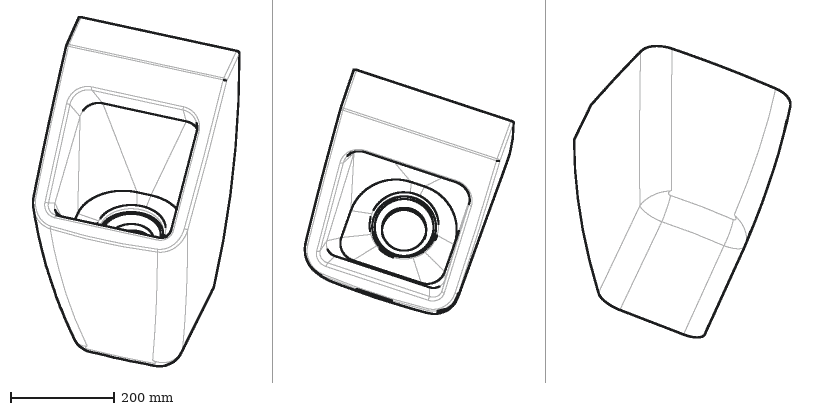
import math

import cadquery as cq

WIDTH = 328.13
DEPTH = 359.5
HEIGHT = 680.7

BASE_HALF_WIDTH = 106.0
SIDE_BULGE = 15.0
BASE_CORNER_RADIUS = 46.0
SIDE_DRAFT = 3.0
BASE_RISE = 17.5

FRONT_TOP_DEPTH = 388.1
FRONT_BASE_DEPTH = 232.5
FRONT_BULGE = 27.0
FRONT_BOW_RADIUS = 1450.0
FRONT_SECTOR = 40.0
FRONT_CORNER_RADIUS = 50.0

LEDGE_DEPTH = 83.0
SLOPE_ANGLE = 39.7
RIM_RADIUS = 6.0

MOUTH_START = 75.0
MOUTH_END = 329.0
MOUTH_TOP_HALF_WIDTH = 130.0
MOUTH_BOTTOM_HALF_WIDTH = 125.0
MOUTH_TOP_RADIUS = 36.0
MOUTH_BOTTOM_RADIUS = 20.0

THROAT_BACK = (-93.0, 555.0)
THROAT_FRONT = (-309.0, 443.0)
THROAT_HALF_WIDTH = 121.0
THROAT_BACK_RADIUS = 36.0
THROAT_FRONT_RADIUS = 24.0

WAIST_HEIGHT = 340.0
WAIST_BACK = -96.0
WAIST_FRONT = -281.0
WAIST_HALF_WIDTH = 106.0
WAIST_BACK_RADIUS = 92.0
WAIST_FRONT_RADIUS = 36.0

DRAIN_Y = -178.5
DRAIN_TOP = 321.0
DRAIN_MOUTH_RADIUS = 67.0
DRAIN_LIP_RADIUS = 5.0
DRAIN_SEAT_RADIUS = 57.0
DRAIN_SEAT_DEPTH = 14.0
DRAIN_HOLE_RADIUS = 43.0
DRAIN_CONE_DEPTH = 14.0
DRAIN_HOLE_DEPTH = 45.0
DRAIN_CORNER_ARCS = ((2, 82), (98, 178), (214, 236), (304, 326))

MARGIN = 10.0
SLOPE_PLANE = cq.Plane(
    origin=(0, -LEDGE_DEPTH, HEIGHT),
    xDir=(1, 0, 0),
    normal=(0, -math.sin(math.radians(SLOPE_ANGLE)), math.cos(math.radians(SLOPE_ANGLE))),
)


def bulged_middle(start, end, bulge):
    """Middle point of an arc that rises to the right of the chord by the bulge."""
    dx, dy = end[0] - start[0], end[1] - start[1]
    length = math.hypot(dx, dy)
    return (
        (start[0] + end[0]) / 2 + bulge * dy / length,
        (start[1] + end[1]) / 2 - bulge * dx / length,
    )


def body_outline(depth):
    """Outline of the drafted body at a distance in front of the back."""
    inset = SIDE_DRAFT * depth / DEPTH
    base = BASE_RISE * depth / DEPTH
    base_right = (BASE_HALF_WIDTH - inset, base)
    top_right = (WIDTH / 2 - inset, HEIGHT)
    middle = bulged_middle(base_right, top_right, SIDE_BULGE)
    return (
        cq.Workplane("XZ", origin=(0, -depth, 0))
        .moveTo(*base_right)
        .threePointArc(middle, top_right)
        .lineTo(-top_right[0], HEIGHT)
        .threePointArc((-middle[0], middle[1]), (-base_right[0], base))
        .close()
        .val()
    )


def make_front_envelope():
    """Solid of revolution whose rim is the bowed front wall."""
    axis_y = FRONT_BOW_RADIUS - DEPTH
    base = (axis_y + FRONT_BASE_DEPTH, 0)
    top = (axis_y + FRONT_TOP_DEPTH, HEIGHT)
    middle = bulged_middle(base, top, FRONT_BULGE)
    profile = (
        cq.Workplane("YZ", origin=(0, axis_y, 0))
        .lineTo(-base[0], base[1])
        .threePointArc((-middle[0], middle[1]), (-top[0], top[1]))
        .lineTo(0, HEIGHT)
        .close()
    )
    envelope = profile.revolve(FRONT_SECTOR, (0, 0), (0, 1))
    return envelope.rotate((0, axis_y, 0), (0, axis_y, 1), -FRONT_SECTOR / 2)


def make_body():
    """Drafted body with a bowed front, rounded corners and a sloping top."""
    reach = DEPTH + MARGIN
    prism = cq.Solid.makeLoft([body_outline(0), body_outline(reach)], True)
    base_zone = cq.selectors.BoxSelector((-WIDTH, -reach, -1), (WIDTH, 1, 2 * BASE_RISE))
    blank = cq.Workplane("XY").newObject([prism])
    blank = blank.edges(base_zone).edges("not |X").fillet(BASE_CORNER_RADIUS)
    blank = blank.intersect(make_front_envelope())
    blank = blank.faces("%REVOLUTION").edges("not >Z").fillet(FRONT_CORNER_RADIUS)
    waste = cq.Workplane(SLOPE_PLANE).rect(2 * WIDTH, 4 * DEPTH).extrude(HEIGHT)
    return blank.cut(waste)


def rounded_outline(plane, start, end, half_widths, radii):
    """Four-sided outline with rounded corners, between two places along the plane's Y axis."""
    corners = [
        (half_widths[0], start, radii[0]),
        (-half_widths[0], start, radii[0]),
        (-half_widths[1], end, radii[1]),
        (half_widths[1], end, radii[1]),
    ]
    rounds = []
    for index, (x, y, radius) in enumerate(corners):
        corner = cq.Vector(x, y, 0)
        back = cq.Vector(*corners[index - 1][:2], 0) - corner
        ahead = cq.Vector(*corners[(index + 1) % 4][:2], 0) - corner
        half_angle = back.getAngle(ahead) / 2
        back, ahead = back.normalized(), ahead.normalized()
        setback = radius / math.tan(half_angle)
        middle = corner + (back + ahead).normalized() * (radius / math.sin(half_angle) - radius)
        rounds.append((corner + back * setback, middle, corner + ahead * setback))
    edges = []
    for index, (arc_start, middle, arc_end) in enumerate(rounds):
        edges.append(cq.Edge.makeThreePointArc(arc_start, middle, arc_end))
        edges.append(cq.Edge.makeLine(arc_end, rounds[(index + 1) % 4][0]))
    return cq.Wire.assembleEdges(edges).moved(cq.Location(plane))


def drain_circle():
    """Rim of the drain, split into arcs that match the rounded waist outline."""
    def on_circle(angle):
        turn = math.radians(angle)
        return cq.Vector(
            DRAIN_MOUTH_RADIUS * math.cos(turn),
            DRAIN_Y + DRAIN_MOUTH_RADIUS * math.sin(turn),
            DRAIN_TOP,
        )

    edges = []
    for index, (arc_start, arc_end) in enumerate(DRAIN_CORNER_ARCS):
        next_start = DRAIN_CORNER_ARCS[(index + 1) % 4][0]
        if next_start < arc_end:
            next_start += 360
        for first, last in ((arc_start, arc_end), (arc_end, next_start)):
            edges.append(
                cq.Edge.makeThreePointArc(on_circle(first), on_circle((first + last) / 2), on_circle(last))
            )
    return cq.Wire.assembleEdges(edges)


def make_bowl():
    """Hollow of the bowl: a mouth square to the slope, then a funnel to the drain."""
    mouth = rounded_outline(
        SLOPE_PLANE,
        -MOUTH_START,
        -MOUTH_END,
        (MOUTH_TOP_HALF_WIDTH, MOUTH_BOTTOM_HALF_WIDTH),
        (MOUTH_TOP_RADIUS, MOUTH_BOTTOM_RADIUS),
    )
    throat_run = THROAT_BACK[0] - THROAT_FRONT[0]
    throat_rise = THROAT_BACK[1] - THROAT_FRONT[1]
    throat = rounded_outline(
        cq.Plane((0, *THROAT_BACK), (1, 0, 0), (0, -throat_rise, throat_run)),
        0,
        -math.hypot(throat_run, throat_rise),
        (THROAT_HALF_WIDTH, THROAT_HALF_WIDTH),
        (THROAT_BACK_RADIUS, THROAT_FRONT_RADIUS),
    )
    waist = rounded_outline(
        cq.Plane((0, 0, WAIST_HEIGHT), (1, 0, 0), (0, 0, 1)),
        WAIST_BACK,
        WAIST_FRONT,
        (WAIST_HALF_WIDTH, WAIST_HALF_WIDTH),
        (WAIST_BACK_RADIUS, WAIST_FRONT_RADIUS),
    )
    tunnel = cq.Solid.makeLoft([mouth, throat], True)
    funnel = cq.Solid.makeLoft([throat, waist, drain_circle()], True)
    return cq.Workplane("XY").newObject([tunnel]).union(cq.Workplane("XY").newObject([funnel]))


def make_drain():
    """Round drain: rolled lip, stepped seat, cone and blind hole."""
    wall = DRAIN_MOUTH_RADIUS - DRAIN_LIP_RADIUS
    lip_middle = DRAIN_LIP_RADIUS * math.sqrt(0.5)
    cone_end = -DRAIN_SEAT_DEPTH - DRAIN_CONE_DEPTH
    return (
        cq.Workplane("XZ", origin=(0, DRAIN_Y, DRAIN_TOP))
        .lineTo(DRAIN_MOUTH_RADIUS, 0)
        .threePointArc(
            (DRAIN_MOUTH_RADIUS - lip_middle, lip_middle - DRAIN_LIP_RADIUS),
            (wall, -DRAIN_LIP_RADIUS),
        )
        .lineTo(wall, -DRAIN_SEAT_DEPTH)
        .lineTo(DRAIN_SEAT_RADIUS, -DRAIN_SEAT_DEPTH)
        .lineTo(DRAIN_HOLE_RADIUS, cone_end)
        .lineTo(DRAIN_HOLE_RADIUS, -DRAIN_HOLE_DEPTH)
        .lineTo(0, -DRAIN_HOLE_DEPTH)
        .close()
        .revolve(360, (0, 0), (0, 1))
    )


def round_upper_edges(part):
    """Round the rim of the mouth and every edge of the top ledge and slope off the wall."""
    ledge = part.faces(">Z")
    slope = part.faces(cq.selectors.ParallelDirSelector(SLOPE_PLANE.zDir))
    edges = slope.edges().add(ledge.edges("not >Y"))
    return part.newObject(list(set(edges.vals()))).fillet(RIM_RADIUS)


body = make_body().cut(make_bowl()).cut(make_drain())
result = round_upper_edges(body).solids()